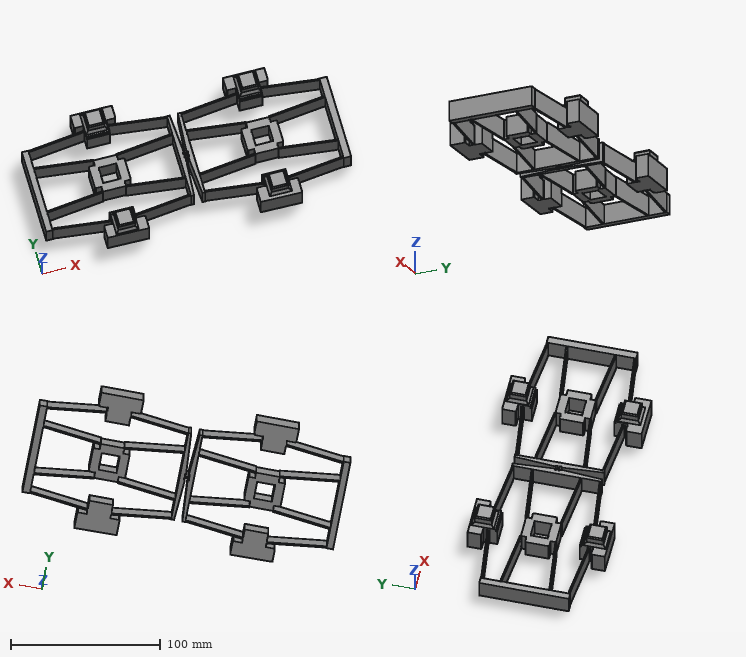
import cadquery as cq

CELL_OFFSET = 52.96
FRAME_HEIGHT = 14.0
BLOCK_HEIGHT = 16.0

BAR_HALF_LENGTH = 30.75
CELL_HALF_WIDTH = 48.15
LEFT_BAR_WIDTH = 4.5
RIGHT_BAR_WIDTH = 5.11
INNER_BAR_END_GAP = 2.85
INNER_BAR_MIDDLE_GAP = 0.8

HINGE_THICKNESS = 1.1
HINGE_HALF_LENGTH = 2.0
HINGE_RELIEF_RADIUS = 0.75
HINGE_RELIEF_X = 1.0

BEAM_THICKNESS = 1.1
BEAM_RISE = 4.5
BEAM_STUB = 1.9
BEAM_END_INSET = 0.1
OUTER_BEAM_BAR_Y = BAR_HALF_LENGTH - BEAM_END_INSET - BEAM_THICKNESS / 2
OUTER_BEAM_BLOCK_Y = OUTER_BEAM_BAR_Y + BEAM_RISE
GUSSET = 0.6

STEM_WIDTH = 16.1
WING_CHAMFER = 0.6
BODY_LENGTH = 24.2
BODY_WING_WIDTH = 24.9
BODY_WING_LENGTH = 16.6
WINDOW_WIDTH = 12.3
WINDOW_LENGTH = 11.7

BLOCK_OUTER_Y = 47.27
BLOCK_INNER_Y = 28.2
BLOCK_STEP = 1.0
WING_WIDTH = 28.8
WING_INNER_Y = 37.65
FRONT_OUTER_Y = -48.87
FRONT_FACE_SLOPE = 0.014

PEG_Y = 38.35
PEG_OUTWARD_SHIFT = 0.3
PEG_WIDTH = 11.7
PEG_TOP_Z = 23.2
PEG_CHAMFER = 0.9
SKIRT_WIDTH = 15.5
SKIRT_HEIGHT = 1.8


def box(x_min, x_max, y_min, y_max, height):
    return cq.Workplane("XY").box(
        x_max - x_min, y_max - y_min, height, centered=False
    ).translate((x_min, y_min, 0))


def prism(points, height):
    return cq.Workplane("XY").polyline(points).close().extrude(height)


def mirrored_pair(shape, plane):
    return shape.union(shape.mirror(plane))


def outer_bars():
    inner_x = CELL_OFFSET + CELL_HALF_WIDTH
    left = box(-inner_x - LEFT_BAR_WIDTH, -inner_x, -BAR_HALF_LENGTH, BAR_HALF_LENGTH, FRAME_HEIGHT)
    right = box(inner_x, inner_x + RIGHT_BAR_WIDTH, -BAR_HALF_LENGTH, BAR_HALF_LENGTH, FRAME_HEIGHT)
    return left.union(right)


def inner_bars():
    """Two bars that swell toward mid length, relieved beside the hinge that joins them."""
    back_x = CELL_OFFSET - CELL_HALF_WIDTH
    bar = prism(
        [
            (back_x, -BAR_HALF_LENGTH),
            (back_x, BAR_HALF_LENGTH),
            (INNER_BAR_END_GAP, BAR_HALF_LENGTH),
            (INNER_BAR_MIDDLE_GAP, 0),
            (INNER_BAR_END_GAP, -BAR_HALF_LENGTH),
        ],
        FRAME_HEIGHT,
    )
    half_hinge = HINGE_THICKNESS / 2
    hinge = box(-HINGE_HALF_LENGTH, HINGE_HALF_LENGTH, -half_hinge, half_hinge, FRAME_HEIGHT)
    relief_y = half_hinge + HINGE_RELIEF_RADIUS
    reliefs = (
        cq.Workplane("XY")
        .rect(2 * HINGE_RELIEF_X, 2 * relief_y, forConstruction=True)
        .vertices()
        .circle(HINGE_RELIEF_RADIUS)
        .extrude(FRAME_HEIGHT)
    )
    return mirrored_pair(bar, "YZ").union(hinge).cut(reliefs)


def beam(bar_y, block_y):
    """Thin beam from the right-hand bar of a cell to the stem; Y values are beam centres."""
    half = BEAM_THICKNESS / 2
    stub_x = CELL_HALF_WIDTH - BEAM_STUB
    stem_x = STEM_WIDTH / 2
    centre_line = [(CELL_HALF_WIDTH, bar_y), (stub_x, bar_y), (stem_x, block_y)]
    upper = [(x, y + half) for x, y in centre_line]
    lower = [(x, y - half) for x, y in centre_line]
    return prism(upper + lower[::-1], FRAME_HEIGHT)


def beams():
    body_y = BODY_LENGTH / 2
    quarter = beam(OUTER_BEAM_BAR_Y, OUTER_BEAM_BLOCK_Y)
    quarter = quarter.union(beam(body_y + BEAM_RISE, body_y))
    return mirrored_pair(mirrored_pair(quarter, "YZ"), "XZ")


def centre_body():
    stem = cq.Workplane("XY").rect(STEM_WIDTH, BODY_LENGTH).extrude(FRAME_HEIGHT)
    wings = cq.Workplane("XY").rect(BODY_WING_WIDTH, BODY_WING_LENGTH).extrude(FRAME_HEIGHT)
    wings = wings.edges("|Z").chamfer(WING_CHAMFER)
    window = cq.Workplane("XY").rect(WINDOW_WIDTH, WINDOW_LENGTH).extrude(FRAME_HEIGHT)
    return stem.union(wings).cut(window)


def peg(x):
    skirt = (
        cq.Workplane("XY", origin=(x, PEG_Y, BLOCK_HEIGHT))
        .rect(SKIRT_WIDTH, SKIRT_WIDTH)
        .workplane(offset=SKIRT_HEIGHT)
        .rect(PEG_WIDTH, PEG_WIDTH)
        .loft()
    )
    post = (
        cq.Workplane("XY", origin=(x, PEG_Y, BLOCK_HEIGHT))
        .rect(PEG_WIDTH, PEG_WIDTH)
        .extrude(PEG_TOP_Z - BLOCK_HEIGHT)
        .faces(">Z")
        .chamfer(PEG_CHAMFER)
    )
    return skirt.union(post)


def end_block(outer_y, peg_x):
    """Block at the back (+Y) of a cell."""
    half_stem = STEM_WIDTH / 2
    half_wing = WING_WIDTH / 2
    gusset_reach = BEAM_THICKNESS / 2 + GUSSET
    stem = box(-half_stem, half_stem, BLOCK_INNER_Y, outer_y, FRAME_HEIGHT)
    cap = box(-half_stem, half_stem, BLOCK_INNER_Y + BLOCK_STEP, outer_y, BLOCK_HEIGHT)
    wings = box(-half_wing, half_wing, WING_INNER_Y, outer_y, BLOCK_HEIGHT)
    wings = wings.edges("|Z and <Y").chamfer(WING_CHAMFER)
    gusset = prism(
        [
            (half_stem, OUTER_BEAM_BLOCK_Y - gusset_reach),
            (half_stem, OUTER_BEAM_BLOCK_Y + gusset_reach),
            (half_stem + GUSSET, OUTER_BEAM_BLOCK_Y),
        ],
        FRAME_HEIGHT,
    )
    return stem.union(cap).union(wings).union(mirrored_pair(gusset, "YZ")).union(peg(peg_x))


def cell(side):
    """One cell; side is -1 for the left cell and 1 for the right cell."""
    peg_x = side * PEG_OUTWARD_SHIFT
    back = end_block(BLOCK_OUTER_Y, peg_x)
    front = end_block(-FRONT_OUTER_Y, peg_x).mirror("XZ")
    parts = centre_body().union(beams()).union(back).union(front)
    return parts.translate((side * CELL_OFFSET, 0, 0))


def front_trim():
    """Material in front of the slightly turned plane that ends both front blocks."""
    right_x = CELL_OFFSET + WING_WIDTH / 2
    left_y = FRONT_OUTER_Y + FRONT_FACE_SLOPE * 2 * right_x
    return prism(
        [(-right_x, left_y), (right_x, FRONT_OUTER_Y), (-right_x, FRONT_OUTER_Y)], BLOCK_HEIGHT
    )


result = outer_bars().union(inner_bars())
for side in (-1, 1):
    result = result.union(cell(side))
result = result.cut(front_trim())